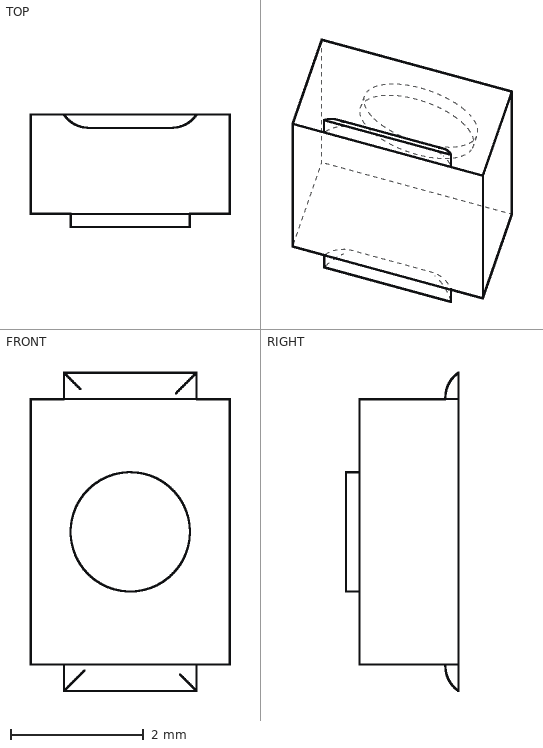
import cadquery as cq
import math

total_height = 4.8
housing_width = 3.0
housing_depth = 1.5
terminal_reach = 0.4
terminal_width = 2.0
terminal_thickness = 0.2
rounding_run = 0.375
button_diameter = 1.8
button_height = 0.2

housing_height = total_height - 2 * terminal_reach
housing_back = housing_depth
terminal_front = housing_back - terminal_thickness

rounding_radius = (rounding_run**2 + terminal_thickness**2) / (2 * terminal_thickness)
half_arc_angle = math.asin(rounding_run / rounding_radius) / 2
arc_mid_run = rounding_radius * math.sin(half_arc_angle)
arc_mid_y = terminal_front + rounding_radius * (1 - math.cos(half_arc_angle))


def make_housing():
    """Plain rectangular block."""
    return cq.Workplane("XY").box(
        housing_width, housing_depth, housing_height, centered=(True, False, True)
    )


def make_button():
    """Round disc standing on the middle of the housing front."""
    return cq.Workplane("XZ").circle(button_diameter / 2).extrude(button_height)


def make_top_terminal():
    """Tab on the top wall, rounded toward the back along its top and both ends."""
    wall_z = housing_height / 2
    tip_z = wall_z + terminal_reach
    flat_end_z = tip_z - rounding_run
    half_width = terminal_width / 2
    flat_end_x = half_width - rounding_run

    rounded_tip = (
        cq.Workplane("YZ")
        .moveTo(housing_back, wall_z)
        .lineTo(terminal_front, wall_z)
        .lineTo(terminal_front, flat_end_z)
        .threePointArc((arc_mid_y, flat_end_z + arc_mid_run), (housing_back, tip_z))
        .close()
        .extrude(half_width, both=True)
    )

    rounded_ends = (
        cq.Workplane("XY", origin=(0, 0, wall_z))
        .moveTo(-half_width, housing_back)
        .threePointArc((-flat_end_x - arc_mid_run, arc_mid_y), (-flat_end_x, terminal_front))
        .lineTo(flat_end_x, terminal_front)
        .threePointArc((flat_end_x + arc_mid_run, arc_mid_y), (half_width, housing_back))
        .close()
        .extrude(terminal_reach)
    )
    return rounded_tip.intersect(rounded_ends)


def make_terminal(turn):
    """Terminal turned about the Y axis onto the top (0) or bottom (180) wall."""
    return make_top_terminal().rotate((0, 0, 0), (0, 1, 0), turn)


housing = make_housing()
button = make_button()
terminals = [make_terminal(turn) for turn in (0, 180)]

result = cq.Compound.makeCompound(
    [housing.val(), button.val(), *[terminal.val() for terminal in terminals]]
)